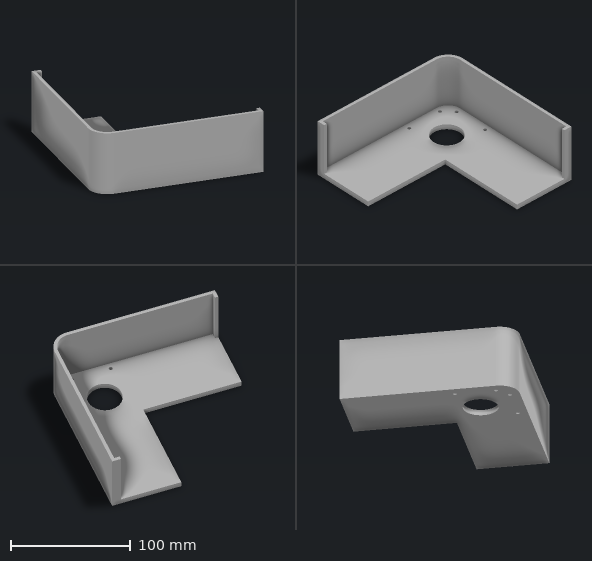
import cadquery as cq

side = 150.0
height = 55.0
floor_thickness = 5.0
wall_thickness = 3.0
leg_width = 62.0
corner_radius = 17.0

lip_length = 5.0
lip_thickness = 3.0

large_hole_diameter = 30.0
large_hole_offset = 37.0
small_hole_diameter = 3.5
small_hole_edge_offset = 8.5
small_hole_near_offset = 18.5
small_hole_spacing = 35.0

wall_height = height - floor_thickness


def l_outline(width, end_z):
    """L-shaped prism of the given leg width, rounded at its outer corner."""
    return (
        cq.Workplane("XY")
        .polyline([
            (0, 0),
            (side, 0),
            (side, side),
            (side - width, side),
            (side - width, width),
            (0, width),
        ])
        .close()
        .extrude(end_z)
        .edges("|Z and >X and <Y")
        .fillet(corner_radius)
    )


def make_wall():
    """Wall of constant thickness that follows the rounded outer corner."""
    inner_corner_radius = corner_radius - wall_thickness
    return l_outline(wall_thickness, height).edges(
        cq.selectors.NearestToPointSelector((side - wall_thickness, wall_thickness, height / 2))
    ).fillet(inner_corner_radius)


def make_lips():
    """Upright lips on the floor at the -X and +Y ends of the wall."""
    reach = wall_thickness + lip_length
    base = cq.Workplane("XY").workplane(offset=floor_thickness)
    left_lip = base.rect(lip_thickness, reach, centered=False).extrude(wall_height)
    back_lip = (
        base.moveTo(side - reach, side - lip_thickness)
        .rect(reach, lip_thickness, centered=False)
        .extrude(wall_height)
    )
    return left_lip.union(back_lip)


def hole_cutter(diameter, offsets):
    """Cylinders through the floor at (distance from +X side, distance from -Y side)."""
    centres = [(side - from_right, from_front) for from_right, from_front in offsets]
    return cq.Workplane("XY").pushPoints(centres).circle(diameter / 2).extrude(floor_thickness)


small_hole_offsets = []
for along in (small_hole_near_offset, small_hole_near_offset + small_hole_spacing):
    small_hole_offsets.append((along, small_hole_edge_offset))
    small_hole_offsets.append((small_hole_edge_offset, along))

result = (
    l_outline(leg_width, floor_thickness)
    .union(make_wall())
    .union(make_lips())
    .cut(hole_cutter(large_hole_diameter, [(large_hole_offset, large_hole_offset)]))
    .cut(hole_cutter(small_hole_diameter, small_hole_offsets))
)